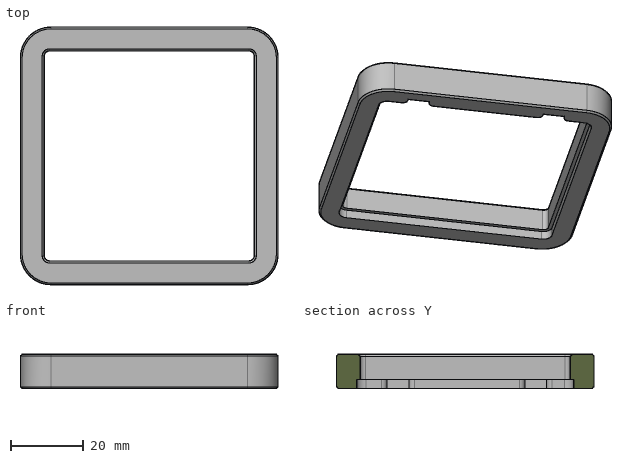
import cadquery as cq

OUTER_SIDE = 71.3
HEIGHT = 9.5
OUTER_CORNER_RADIUS = 8.5
OUTER_CHAMFER = 0.5

OPENING_SIDE = 58.0
OPENING_CORNER_RADIUS = 1.4
OPENING_CHAMFER = 0.6

REBATE_STEP = 1.0
REBATE_HEIGHT = 2.5
REBATE_CORNER_RADIUS = 2.5

NOTCH_CENTRES_X = (-18.6, 19.5)
NOTCH_WIDTH = 6.0
NOTCH_DEPTH = 2.0
NOTCH_LIP_RADIUS = 1.5

SELECTION_MARGIN = 0.1

REBATE_WALL_Y = OPENING_SIDE / 2 + REBATE_STEP


def rounded_square(side, height, radius):
    """Square block on Z = 0 with rounded vertical edges."""
    block = cq.Workplane("XY").rect(side, side).extrude(height)
    return block.edges("|Z").fillet(radius)


def chamfered_body():
    """Solid block with its top and bottom outlines bevelled."""
    body = rounded_square(OUTER_SIDE, HEIGHT, OUTER_CORNER_RADIUS)
    return body.edges("<Z or >Z").chamfer(OUTER_CHAMFER)


def cut_opening(body):
    """Cut the square opening and bevel its top rim."""
    frame = body.cut(rounded_square(OPENING_SIDE, HEIGHT, OPENING_CORNER_RADIUS))
    reach = OPENING_SIDE / 2 + SELECTION_MARGIN
    top_rim = cq.selectors.BoxSelector(
        (-reach, -reach, HEIGHT - SELECTION_MARGIN),
        (reach, reach, HEIGHT + SELECTION_MARGIN),
    )
    return frame.edges(top_rim).chamfer(OPENING_CHAMFER)


def rebate():
    """Cutter for the wider, shallow opening at the underside."""
    side = OPENING_SIDE + 2 * REBATE_STEP
    return rounded_square(side, REBATE_HEIGHT, REBATE_CORNER_RADIUS)


def notch(centre_x):
    """Notch that flares tangentially into the rebate wall through rounded lips."""
    half_width = NOTCH_WIDTH / 2
    half_mouth = half_width + NOTCH_LIP_RADIUS
    lip_end_y = REBATE_WALL_Y + NOTCH_LIP_RADIUS
    floor_y = REBATE_WALL_Y + NOTCH_DEPTH
    return (
        cq.Workplane("XY")
        .moveTo(centre_x - half_mouth, REBATE_WALL_Y)
        .radiusArc((centre_x - half_width, lip_end_y), -NOTCH_LIP_RADIUS)
        .lineTo(centre_x - half_width, floor_y)
        .lineTo(centre_x + half_width, floor_y)
        .lineTo(centre_x + half_width, lip_end_y)
        .radiusArc((centre_x + half_mouth, REBATE_WALL_Y), -NOTCH_LIP_RADIUS)
        .close()
        .extrude(REBATE_HEIGHT)
    )


frame = cut_opening(chamfered_body())
frame = frame.cut(rebate())
for centre_x in NOTCH_CENTRES_X:
    frame = frame.cut(notch(centre_x))

result = frame